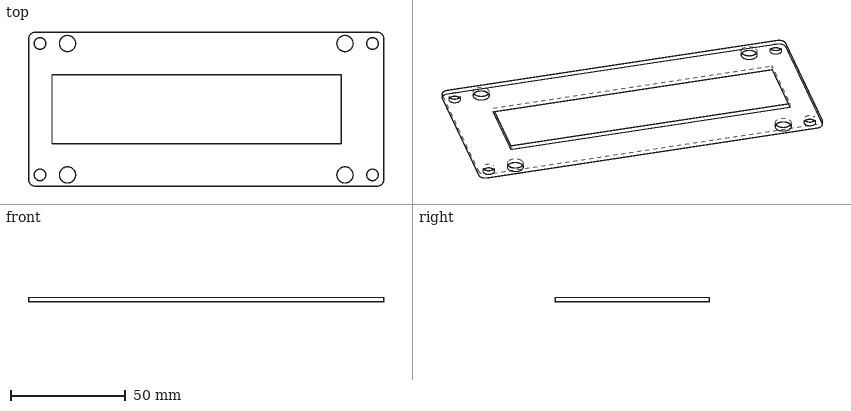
import cadquery as cq

plate_length = 155.0
plate_width = 67.3
plate_thickness = 2.0
corner_radius = 3.0

window_length = 126.0
window_width = 30.0
window_left_margin = 10.3
window_center_x = -plate_length / 2 + window_left_margin + window_length / 2

hole_edge_distance_y = 5.0
corner_hole_diameter = 5.0
corner_hole_edge_distance_x = 5.0
inner_hole_diameter = 7.0
inner_hole_edge_distance_x = 17.0


def make_plate():
    """Flat plate with rounded vertical corners."""
    plate = cq.Workplane("XY").box(
        plate_length, plate_width, plate_thickness, centered=(True, True, False)
    )
    return plate.edges("|Z").fillet(corner_radius)


def cut_window(plate):
    """Cut the sharp-cornered window through the plate."""
    window = (
        cq.Workplane("XY")
        .center(window_center_x, 0)
        .rect(window_length, window_width)
        .extrude(plate_thickness)
    )
    return plate.cut(window)


def cut_four_holes(plate, diameter, edge_distance_x):
    """Cut four through holes, placed symmetrically about both plate axes."""
    spacing_x = plate_length - 2 * edge_distance_x
    spacing_y = plate_width - 2 * hole_edge_distance_y
    holes = (
        cq.Workplane("XY")
        .rect(spacing_x, spacing_y, forConstruction=True)
        .vertices()
        .circle(diameter / 2)
        .extrude(plate_thickness)
    )
    return plate.cut(holes)


result = make_plate()
result = cut_window(result)
result = cut_four_holes(result, corner_hole_diameter, corner_hole_edge_distance_x)
result = cut_four_holes(result, inner_hole_diameter, inner_hole_edge_distance_x)